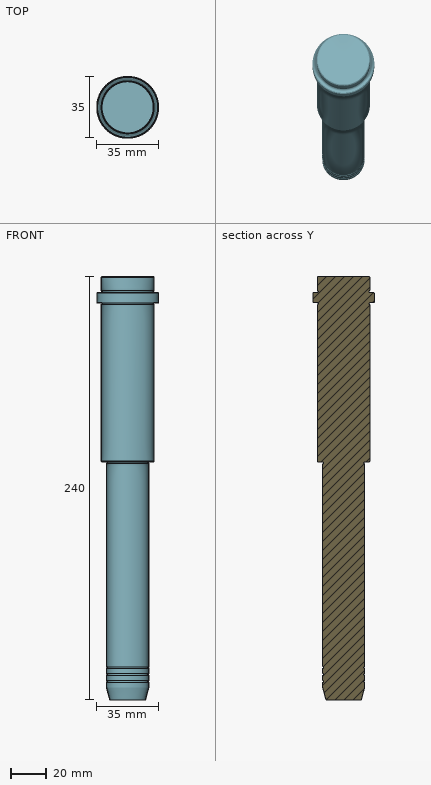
import cadquery as cq

total_length = 240.0
flange_middle = 228.0
flange_thickness = 6.0
flange_top = flange_middle + flange_thickness / 2
flange_bottom = flange_middle - flange_thickness / 2
shoulder_height = 135.0
taper_height = 7.2

flange_radius = 35.0 / 2
body_radius = 30.0 / 2
shank_radius = 24.0 / 2
tip_radius = 10.0

edge_chamfer = 0.5
tip_fillet = 0.5

groove_section_radius = 0.5
lubrication_groove_count = 3
lowest_groove_height = 10.5
groove_span = 8.0
groove_pitch = groove_span / (lubrication_groove_count - 1)


def cylinder(radius, bottom, top):
    """Solid cylinder about Z between two heights."""
    return cq.Workplane("XY").workplane(offset=bottom).circle(radius).extrude(top - bottom)


def cut_round_groove(part, surface_radius, height):
    """Cut a half-round groove into a cylindrical surface, centred on the given height."""
    ring = cq.Solid.makeTorus(surface_radius, groove_section_radius, cq.Vector(0, 0, height))
    return part.cut(cq.Workplane(ring))


def make_tip():
    """Tapered lower end with a rounded edge."""
    taper = (
        cq.Workplane("XY")
        .circle(tip_radius)
        .workplane(offset=taper_height)
        .circle(shank_radius)
        .loft(ruled=True)
    )
    return taper.faces("<Z").fillet(tip_fillet)


def make_shank():
    """Lower shank with its lubrication grooves and a relief under the shoulder."""
    shank = cylinder(shank_radius, taper_height, shoulder_height)
    for index in range(lubrication_groove_count):
        shank = cut_round_groove(shank, shank_radius, lowest_groove_height + index * groove_pitch)
    return cut_round_groove(shank, shank_radius, shoulder_height - groove_section_radius)


def make_body():
    """Guide body with broken end edges and a relief on each side of the flange."""
    body = cylinder(body_radius, shoulder_height, total_length)
    body = body.faces("<Z or >Z").chamfer(edge_chamfer)
    body = cut_round_groove(body, body_radius, flange_top + groove_section_radius)
    return cut_round_groove(body, body_radius, flange_bottom - groove_section_radius)


def make_flange():
    """Retaining flange with a broken upper edge."""
    return cylinder(flange_radius, flange_bottom, flange_top).faces(">Z").chamfer(edge_chamfer)


result = make_tip().union(make_shank()).union(make_body()).union(make_flange())